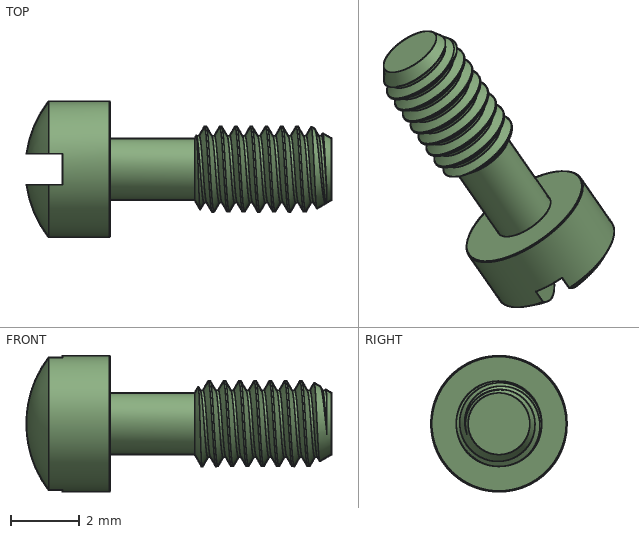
import cadquery as cq
import math

head_radius = 2.0
dome_edge_x = 0.655
head_end_x = 2.47
head_edge_chamfer = 0.03
slot_width = 0.9
slot_floor_x = 1.06

shank_radius = 0.91
tip_x = 8.97
thread_start_x = 4.94
major_radius = 1.26
root_radius = 0.99
pitch = 0.45
crest_width = pitch / 8
flank_angle = 30.0
first_crest_x = 5.37
start_cone_slope = 60.0
tip_cone_slope = 30.0
groove_overshoot = 0.03
lead_in_turns = 2.5
rod_start_x = 3.59
rod_length = 7.18

slot_half = slot_width / 2
dome_centre_x = (head_radius**2 + dome_edge_x**2 - slot_half**2) / (2 * dome_edge_x)
dome_radius = math.hypot(dome_centre_x, slot_half)
apex_x = dome_centre_x - dome_radius


def revolve_about_x(profile):
    """Turn a closed profile, drawn as (X, radius), about the X axis."""
    return profile.close().revolve(360, (0, 0, 0), (1, 0, 0))


def make_head():
    arc_mid_r = head_radius / 2
    arc_mid_x = dome_centre_x - math.sqrt(dome_radius**2 - arc_mid_r**2)
    head = revolve_about_x(
        cq.Workplane("XY")
        .moveTo(apex_x, 0)
        .threePointArc((arc_mid_x, arc_mid_r), (dome_edge_x, head_radius))
        .lineTo(head_end_x - head_edge_chamfer, head_radius)
        .lineTo(head_end_x, head_radius - head_edge_chamfer)
        .lineTo(head_end_x, 0)
    )
    slot_depth = slot_floor_x - apex_x
    slot = (
        cq.Workplane("XY")
        .box(slot_depth, slot_width, 2 * head_radius, centered=(False, True, True))
        .translate((apex_x, 0, 0))
    )
    return head.cut(slot)


def make_shank():
    shank_length = tip_x - slot_floor_x
    return cq.Workplane("YZ").workplane(offset=slot_floor_x).circle(shank_radius).extrude(shank_length)


def make_thread_groove():
    """Right-handed helical cutter, built along Z and then laid along X."""
    flank_tangent = math.tan(math.radians(flank_angle))
    outer_radius = major_radius + groove_overshoot
    root_half = (pitch - crest_width) / 2 - (major_radius - root_radius) * flank_tangent
    outer_half = root_half + (outer_radius - root_radius) * flank_tangent
    start_x = first_crest_x - lead_in_turns * pitch
    turns = math.ceil((tip_x - start_x) / pitch) + 1
    helix = cq.Workplane(cq.Wire.makeHelix(pitch, turns * pitch, root_radius))
    groove = (
        cq.Workplane("XZ")
        .polyline(
            [
                (root_radius, -root_half),
                (outer_radius, -outer_half),
                (outer_radius, outer_half),
                (root_radius, root_half),
            ]
        )
        .close()
        .sweep(helix, isFrenet=True)
    )
    return (
        groove.rotate((0, 0, 0), (0, 1, 0), 90)
        .rotate((0, 0, 0), (1, 0, 0), 180)
        .translate((start_x, 0, 0))
    )


def make_threaded_rod():
    """Rod longer than the groove at both ends, ready to be trimmed to the thread's length."""
    rod = cq.Workplane("YZ").workplane(offset=rod_start_x).circle(major_radius).extrude(rod_length)
    return rod.cut(make_thread_groove())


def make_thread():
    thread_height = major_radius - shank_radius
    start_cone_length = thread_height / math.tan(math.radians(start_cone_slope))
    tip_cone_length = thread_height / math.tan(math.radians(tip_cone_slope))
    envelope = revolve_about_x(
        cq.Workplane("XY")
        .moveTo(thread_start_x, 0)
        .lineTo(thread_start_x, shank_radius)
        .lineTo(thread_start_x + start_cone_length, major_radius)
        .lineTo(tip_x - tip_cone_length, major_radius)
        .lineTo(tip_x, shank_radius)
        .lineTo(tip_x, 0)
    )
    return make_threaded_rod().intersect(envelope)


result = make_head().union(make_shank()).union(make_thread())